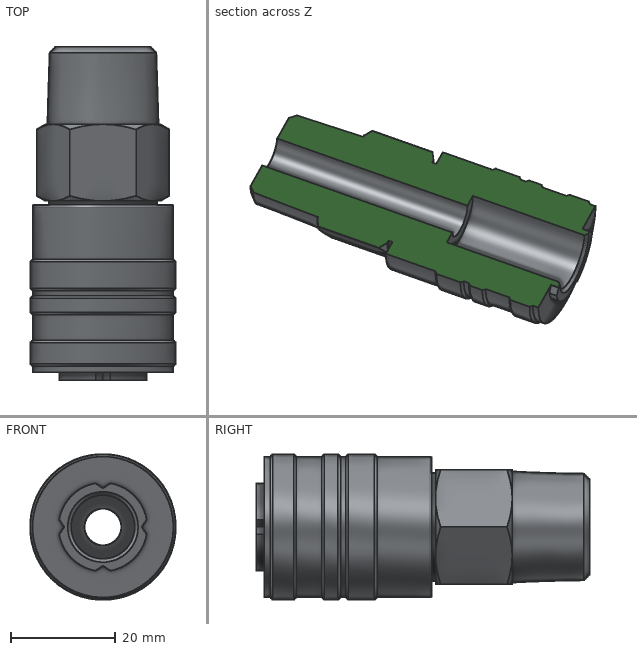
import cadquery as cq
import math


length = 64.0
sleeve_front = 1.55
sleeve_rear = 33.65
hex_front = 34.4
hex_rear = 49.1

sleeve_radius = 13.5
band_radius = 14.0
grip_bands = [(2.7, 7.7), (12.6, 16.2), (17.2, 23.2)]
sleeve_rear_length = 0.4
sleeve_rear_drop = 0.1

neck_radius = 10.4
across_flats = 22.0
hex_sides = 6
hex_chamfer_angle = 30.0

gauge_radius = 20.955 / 2
gauge_length = 8.2
radius_taper = 1 / 32
tip_chamfer = 1.2

ring_radius = 8.5
notch_root_radius = 7.45
notch_half_width = 1.43
notch_edge_height = 8.4
notch_count = 4
notch_overrun = 2.0

bore_radius = 3.5
socket_radius = 6.1
socket_depth = 24.0
mouth_chamfer = 0.65


def revolve_profile(points):
    """Turn a closed (radius, y) outline about the Y axis."""
    return cq.Workplane("XY").polyline(points).close().revolve(360, (0, 0), (0, 1))


def cylinder(radius, front, rear):
    return revolve_profile([(0, front), (radius, front), (radius, rear), (0, rear)])


def make_sleeve():
    chamfer = band_radius - sleeve_radius
    outline = [(0, sleeve_front), (sleeve_radius, sleeve_front)]
    for front, rear in grip_bands:
        outline += [
            (sleeve_radius, front),
            (band_radius, front + chamfer),
            (band_radius, rear - chamfer),
            (sleeve_radius, rear),
        ]
    outline += [
        (sleeve_radius, sleeve_rear - sleeve_rear_length),
        (sleeve_radius - sleeve_rear_drop, sleeve_rear),
        (0, sleeve_rear),
    ]
    return revolve_profile(outline)


def make_hexagon():
    """Hexagonal prism whose corners are cut by a cone at both ends."""
    flat_radius = across_flats / 2
    corner_radius = flat_radius / math.cos(math.pi / hex_sides)
    chamfer_length = (corner_radius - flat_radius) * math.tan(math.radians(hex_chamfer_angle))
    prism = (
        cq.Workplane("XZ", origin=(0, hex_front, 0))
        .polygon(hex_sides, 2 * corner_radius)
        .extrude(hex_front - hex_rear)
    )
    envelope = revolve_profile([
        (0, hex_front),
        (flat_radius, hex_front),
        (corner_radius, hex_front + chamfer_length),
        (corner_radius, hex_rear - chamfer_length),
        (flat_radius, hex_rear),
        (0, hex_rear),
    ])
    return prism.intersect(envelope)


def make_thread():
    gauge_plane = length - gauge_length
    chamfer_start = length - tip_chamfer

    def thread_radius(y):
        return gauge_radius - (y - gauge_plane) * radius_taper

    return revolve_profile([
        (0, hex_rear),
        (thread_radius(hex_rear), hex_rear),
        (thread_radius(chamfer_start), chamfer_start),
        (thread_radius(chamfer_start) - tip_chamfer, length),
        (0, length),
    ])


def make_mouth_ring():
    ring = cylinder(ring_radius, 0, sleeve_front)
    cutter_half_width = notch_overrun * notch_half_width
    cutter_top = notch_root_radius + notch_overrun * (notch_edge_height - notch_root_radius)
    notch = (
        cq.Workplane("XZ")
        .polyline([
            (0, notch_root_radius),
            (cutter_half_width, cutter_top),
            (-cutter_half_width, cutter_top),
        ])
        .close()
        .extrude(-sleeve_front)
    )
    for index in range(notch_count):
        ring = ring.cut(notch.rotate((0, 0, 0), (0, 1, 0), index * 360 / notch_count))
    return ring


def make_bores():
    """Chamfered plug socket followed by the through bore."""
    return revolve_profile([
        (0, 0),
        (socket_radius + mouth_chamfer, 0),
        (socket_radius, mouth_chamfer),
        (socket_radius, socket_depth),
        (bore_radius, socket_depth),
        (bore_radius, length),
        (0, length),
    ])


neck = cylinder(neck_radius, sleeve_rear, hex_front)
body = make_sleeve().union(neck).union(make_hexagon()).union(make_thread()).union(make_mouth_ring())
result = body.cut(make_bores())